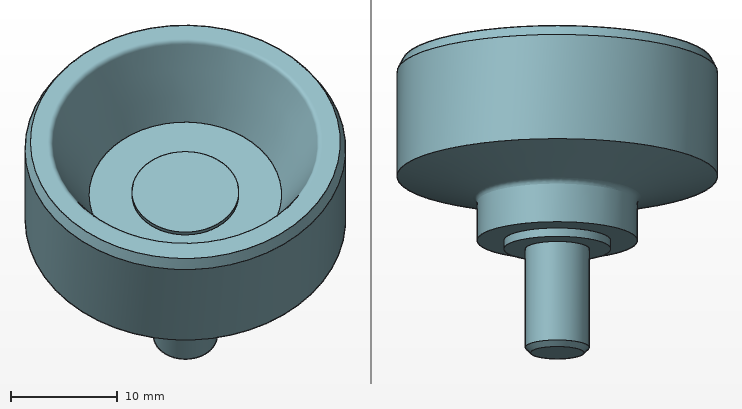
import cadquery as cq

total_height = 28.0
knob_radius = 15.0
rim_chamfer_width = 0.5
rim_chamfer_height = 1.0
side_bottom_z = total_height - 11.0
hub_radius = knob_radius / 2
neck_z = side_bottom_z - 2.15
neck_fillet = 0.5

recess_top_radius = 12.5
recess_floor_radius = 9.0
recess_floor_z = total_height - 7.5
recess_edge_fillet = 0.5

boss_radius = hub_radius * 2 / 3
boss_rise = 0.4
boss_drop = 0.8
stud_radius = 3.0
stud_length = 10.0
stud_chamfer = 0.5

boss_bottom_z = stud_length
boss_top_z = recess_floor_z + boss_rise
hub_bottom_z = boss_bottom_z + boss_drop


def circle_edge_at(body, radius, z):
    """Select the circular edge of the given radius and height."""
    tolerance = 0.03
    low = (-radius - tolerance, -radius - tolerance, z - tolerance)
    high = (radius + tolerance, radius + tolerance, z + tolerance)
    box = cq.selectors.BoxSelector(low, high, boundingbox=True)
    return body.edges(box)


def make_knob():
    """Revolve the hollow knob and round its neck and recess edge."""
    profile = [
        (boss_radius, hub_bottom_z),
        (hub_radius, hub_bottom_z),
        (hub_radius, neck_z),
        (knob_radius, side_bottom_z),
        (knob_radius, total_height - rim_chamfer_height),
        (knob_radius - rim_chamfer_width, total_height),
        (recess_top_radius, total_height),
        (recess_floor_radius, recess_floor_z),
        (boss_radius, recess_floor_z),
    ]
    body = cq.Workplane("XZ").polyline(profile).close().revolve(360, (0, 0, 0), (0, 1, 0))
    body = circle_edge_at(body, hub_radius, neck_z).fillet(neck_fillet)
    return circle_edge_at(body, recess_top_radius, total_height).fillet(recess_edge_fillet)


def make_insert():
    """Join the chamfered stud to the boss that fills the knob's bore."""
    stud = cq.Workplane("XY").circle(stud_radius).extrude(boss_bottom_z)
    stud = stud.faces("<Z").chamfer(stud_chamfer)
    boss_height = boss_top_z - boss_bottom_z
    boss = cq.Workplane("XY").workplane(offset=boss_bottom_z).circle(boss_radius).extrude(boss_height)
    return stud.union(boss)


knob = make_knob()
insert = make_insert()

result = cq.Compound.makeCompound([knob.val(), insert.val()])